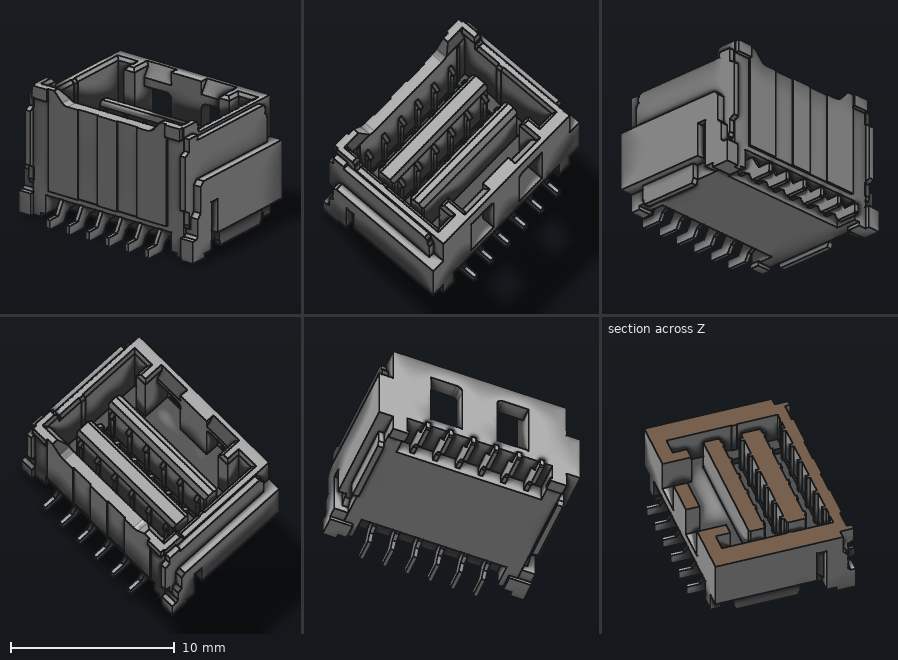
import cadquery as cq
import math

BODY_HALF_X = 5.73
BODY_REAR = 4.55
BODY_FRONT = -4.27
BODY_BOTTOM = 0.35
FOOT_BOTTOM = 0.09
RIM_Z = 7.99
TOP_Z = 8.8
CORNER_STEP_Y = -2.78

RIM_CHAMFER = 0.21
CAVITY_HALF_X = 5.15
CAVITY_REAR = 3.59
CAVITY_FRONT = -3.58
FLOOR_Z = 2.4
SLOT_FLOOR_Z = 2.0
LIP_TOP_Y = -3.99
LIP_BOTTOM_Z = 8.19

DIP_HALF_X = 4.05
DIP_ARC_START_X = 3.46
DIP_ARC_END_X = 3.06

RIB_INNER_X = 3.22
RIB_OUTER_X = 4.03
RIB_TIP_Y = 2.66
POST_HALF_X = 1.16
POST_FACE_Y = 3.65
POCKET_TOP_Y = 4.22
POCKET_SLOPE_Z = 7.13
WINDOW_TOP_Z = 6.56
WINDOW_CORNER_R = 0.4

RIDGE_HALF_X = 5.1
RIDGE_CENTER_Y = -0.76
RIDGE_WIDTH = 0.35
FRONT_RIDGE_FACE = -3.52
FRONT_RIDGE_X = (4.39, 4.64)

SLOT_REAR = 1.55
REAR_TONGUE = (SLOT_REAR, 1.21, 0.78, 0.48)
FRONT_TONGUE = (-0.88, -1.16, -1.93, -2.2)
TONGUE_HALF_X = 4.31
TONGUE_TOP_Z = 6.35
TONGUE_CHAMFER_Z = 6.05
TONGUE_END_CHAMFER = 0.1
FRONT_BASE_BEVEL = 0.16
REAR_BASE_BEVEL = 0.1

PIN_COUNT = 6
PIN_PITCH = 1.5
PIN_WIDTH = 0.28
PIN_TIP_Y = 5.43
CONTACT_TOP_Z = 6.04
CONTACT_SHOULDER_Z = 5.45
CONTACT_HOOK_Z = 5.12
CONTACT_STEM_SHARE = 0.5
CONTACT_SPANS = [(0.56, 0.2), (-0.9, -0.44), (-2.11, -2.47), (-3.6, -3.14)]
TAIL_TIP_CHAMFER = 0.09

RECESS_HALF_X = 4.79
RECESS_TOP_Z = 1.62
RECESS_BACK_Y = 2.79

WING_HALF_X = 6.65
WING_TOP_Z = 5.24
WING_BOTTOM_Z = 1.33
WING_LEG_REAR = -2.65
WING_SLOT_REAR = -2.02
WING_SLOT_TOP_Z = 3.56
PLATE_HALF_X = 6.12
FOOT_FRONT = -4.55
FRONT_FOOT_REAR = -3.31
FRONT_FOOT_INNER_X = 5.17
REAR_FOOT_FRONT = 3.86
REAR_FOOT_INNER_X = 4.68

PANEL_EDGES = [-4.51, -2.26, -0.75, 0.75, 2.26, 4.51]
PANEL_BOTTOM_Z = 2.0
PANEL_FACES = [-4.4, -4.32]
CORNER_PAD_HALF_X = 5.64
CORNER_PAD_FACE = -4.55

EPS = 0.07


def block(x0, x1, y0, y1, z0, z1):
    """Axis-aligned box between two opposite corners."""
    return cq.Workplane("XY").box(x1 - x0, y1 - y0, z1 - z0, centered=False).translate((x0, y0, z0))


def side_profile(points, x0, x1):
    """Closed (y, z) outline swept from x0 to x1."""
    return cq.Workplane("YZ").workplane(offset=x0).polyline(points).close().extrude(x1 - x0)


def both_sides(shape):
    """The shape together with its mirror image across X = 0."""
    return shape.union(shape.mirror("YZ"))


def funnel(x0, x1, y0, y1, z_top):
    """Rim lead-in that widens at 45 degrees from a rectangle up to z_top."""
    grow = 2 * RIM_CHAMFER
    return (
        cq.Workplane("XY")
        .workplane(offset=z_top)
        .center((x0 + x1) / 2, (y0 + y1) / 2)
        .rect(x1 - x0 + grow, y1 - y0 + grow)
        .workplane(offset=-RIM_CHAMFER)
        .rect(x1 - x0, y1 - y0)
        .loft(ruled=True)
    )


def housing_shell():
    """Outer block with the raised front corners."""
    outline = [
        (BODY_REAR, BODY_BOTTOM),
        (BODY_REAR, RIM_Z),
        (-2.61, RIM_Z),
        (CORNER_STEP_Y, 8.17),
        (CORNER_STEP_Y, 8.57),
        (-2.98, TOP_Z),
        (BODY_FRONT, TOP_Z),
        (BODY_FRONT, BODY_BOTTOM),
    ]
    return side_profile(outline, -BODY_HALF_X, BODY_HALF_X)


def front_panels():
    """Alternating shallow panels and the pads on the two raised corners."""
    panels = None
    for i, (x0, x1) in enumerate(zip(PANEL_EDGES, PANEL_EDGES[1:])):
        panel = block(x0, x1, PANEL_FACES[i % 2], BODY_FRONT + EPS, PANEL_BOTTOM_Z, TOP_Z)
        panels = panel if panels is None else panels.union(panel)
    pad = block(PANEL_EDGES[-1], CORNER_PAD_HALF_X, CORNER_PAD_FACE, BODY_FRONT + EPS, RIM_Z, TOP_Z)
    return panels.union(both_sides(pad))


def front_dip():
    """Cutter that lowers the front wall between sloped, rounded shoulders."""
    turn = math.radians(45)
    radius = (DIP_ARC_START_X - DIP_ARC_END_X) / math.sin(turn)
    arc_start_z = RIM_Z + radius * (1 - math.cos(turn))
    arc_mid_x = DIP_ARC_END_X + radius * math.sin(turn / 2)
    arc_mid_z = RIM_Z + radius * (1 - math.cos(turn / 2))
    return (
        cq.Workplane("XZ")
        .moveTo(-DIP_HALF_X, TOP_Z)
        .lineTo(-DIP_ARC_START_X, arc_start_z)
        .threePointArc((-arc_mid_x, arc_mid_z), (-DIP_ARC_END_X, RIM_Z))
        .lineTo(DIP_ARC_END_X, RIM_Z)
        .threePointArc((arc_mid_x, arc_mid_z), (DIP_ARC_START_X, arc_start_z))
        .lineTo(DIP_HALF_X, TOP_Z)
        .close()
        .extrude(-FOOT_FRONT)
    )


def cavity():
    """Mating cavity with its lead-in at the rim and at the raised front corners."""
    room = block(-CAVITY_HALF_X, CAVITY_HALF_X, CAVITY_FRONT, CAVITY_REAR, FLOOR_Z, TOP_Z)
    slots = block(-TONGUE_HALF_X, TONGUE_HALF_X, CAVITY_FRONT, SLOT_REAR, SLOT_FLOOR_Z, FLOOR_Z)
    rim = funnel(-CAVITY_HALF_X, CAVITY_HALF_X, CAVITY_FRONT, CAVITY_REAR, RIM_Z)
    rim = rim.intersect(block(-BODY_HALF_X, BODY_HALF_X, CORNER_STEP_Y, BODY_REAR, 0, TOP_Z))
    rim = rim.cut(block(-RIB_INNER_X, RIB_INNER_X, CAVITY_REAR, BODY_REAR, 0, TOP_Z))
    corner_rim = funnel(-CAVITY_HALF_X, CAVITY_HALF_X, LIP_TOP_Y + RIM_CHAMFER, CAVITY_REAR, TOP_Z)
    lip = [(LIP_TOP_Y, TOP_Z), (CAVITY_FRONT, LIP_BOTTOM_Z), (0, LIP_BOTTOM_Z), (0, TOP_Z)]
    lip_cut = side_profile(lip, -BODY_HALF_X, BODY_HALF_X)
    lip_cut = lip_cut.intersect(
        corner_rim.union(block(-CAVITY_HALF_X, CAVITY_HALF_X, LIP_TOP_Y, 0, RIM_Z, TOP_Z))
    )
    return room.union(slots).union(rim).union(lip_cut)


def rear_ribs():
    """Two upright ribs inside the rear wall, chamfered around their tops."""
    rib = block(RIB_INNER_X, RIB_OUTER_X, RIB_TIP_Y, BODY_REAR - EPS, FLOOR_Z - EPS, RIM_Z)
    rib = rib.faces(">Z").edges("not >Y").chamfer(RIM_CHAMFER)
    return both_sides(rib)


def rear_openings():
    """Recessed rear wall between the ribs, sloped pockets and the windows below them."""
    room = block(-RIB_INNER_X, RIB_INNER_X, 0, POST_FACE_Y, FLOOR_Z, RIM_Z)
    slope = [
        (CAVITY_REAR - EPS, RIM_Z),
        (POCKET_TOP_Y, RIM_Z),
        (POST_FACE_Y, POCKET_SLOPE_Z),
        (CAVITY_REAR - EPS, POCKET_SLOPE_Z),
    ]
    pocket_front = [
        (POST_HALF_X, POCKET_SLOPE_Z),
        (POST_HALF_X, RIM_Z),
        (RIB_INNER_X + RIM_CHAMFER, RIM_Z),
        (RIB_INNER_X, RIM_Z - RIM_CHAMFER),
        (RIB_INNER_X, POCKET_SLOPE_Z),
    ]
    pocket = side_profile(slope, POST_HALF_X, RIB_OUTER_X)
    pocket = pocket.intersect(cq.Workplane("XZ").polyline(pocket_front).close().extrude(-BODY_REAR))
    window = block(POST_HALF_X, RIB_INNER_X, CAVITY_REAR - EPS, BODY_REAR, FLOOR_Z, WINDOW_TOP_Z)
    window = window.edges("|Y and >Z and <X").fillet(WINDOW_CORNER_R)
    return room.union(both_sides(pocket.union(window)))


def guide_ridges():
    """Thin upright ridge on each side wall, its top cut along the rim lead-in."""
    ridge = (
        cq.Workplane("XZ")
        .polyline([
            (RIDGE_HALF_X, FLOOR_Z),
            (RIDGE_HALF_X, RIM_Z - RIM_CHAMFER),
            (RIDGE_HALF_X + RIM_CHAMFER, RIM_Z),
            (BODY_HALF_X - EPS, RIM_Z),
            (BODY_HALF_X - EPS, FLOOR_Z),
        ])
        .close()
        .extrude(RIDGE_WIDTH / 2, both=True)
        .translate((0, RIDGE_CENTER_Y, 0))
    )
    return both_sides(ridge)


def front_ridges():
    """Narrow upright ridges inside the front wall, just outside the tongues."""
    ridge = block(*FRONT_RIDGE_X, CAVITY_FRONT - EPS, FRONT_RIDGE_FACE, FLOOR_Z - EPS, RIM_Z)
    return both_sides(ridge)


def tongue(rear_y, flat_rear_y, flat_front_y, front_y):
    """Full-width contact tongue with bevelled top edges."""
    outline = [
        (rear_y, SLOT_FLOOR_Z - EPS),
        (rear_y, TONGUE_CHAMFER_Z),
        (flat_rear_y, TONGUE_TOP_Z),
        (flat_front_y, TONGUE_TOP_Z),
        (front_y, TONGUE_CHAMFER_Z),
        (front_y, SLOT_FLOOR_Z - EPS),
    ]
    body = side_profile(outline, -TONGUE_HALF_X, TONGUE_HALF_X)
    return body.edges("|Z").chamfer(TONGUE_END_CHAMFER)


def base_bevel(face_y, reach):
    """45-degree strip along the foot of a slot wall, reaching a signed distance into the slot."""
    outline = [
        (face_y, SLOT_FLOOR_Z),
        (face_y, SLOT_FLOOR_Z + abs(reach)),
        (face_y + reach, SLOT_FLOOR_Z),
    ]
    return side_profile(outline, -TONGUE_HALF_X, TONGUE_HALF_X)


def contact(root_y, shoulder_y):
    """Contact with a pointed nose reaching from root to shoulder above a thinner stem."""
    stem_y = root_y + CONTACT_STEM_SHARE * (shoulder_y - root_y)
    outline = [
        (root_y, SLOT_FLOOR_Z),
        (root_y, CONTACT_TOP_Z),
        (shoulder_y, CONTACT_SHOULDER_Z),
        (stem_y, CONTACT_HOOK_Z),
        (stem_y, SLOT_FLOOR_Z),
    ]
    return side_profile(outline, -PIN_WIDTH / 2, PIN_WIDTH / 2)


def solder_tail():
    """Front solder tail, bent down from the recess to a flat foot."""
    outline = [
        (-PIN_TIP_Y + TAIL_TIP_CHAMFER, 0),
        (-PIN_TIP_Y, TAIL_TIP_CHAMFER),
        (-PIN_TIP_Y, 0.64),
        (-4.55, 0.64),
        (-4.02, 1.52),
        (-RECESS_BACK_Y + EPS, 1.52),
        (-RECESS_BACK_Y + EPS, 0.77),
        (-3.26, 0.77),
        (-3.67, 0.53),
        (-3.96, 0),
    ]
    return side_profile(outline, -PIN_WIDTH / 2, PIN_WIDTH / 2)


def terminal_set():
    """All metal terminal parts of one column, centred on X = 0."""
    tail = solder_tail()
    parts = tail.union(tail.mirror("XZ"))
    for root_y, shoulder_y in CONTACT_SPANS:
        parts = parts.union(contact(root_y, shoulder_y))
    return parts


def wing():
    """Right side wing with its front leg, slot and stepped lower edge."""
    outline = [
        (BODY_REAR, WING_BOTTOM_Z),
        (BODY_REAR, WING_TOP_Z),
        (-3.46, WING_TOP_Z),
        (-3.74, 4.95),
        (-3.74, 3.19),
        (-4.03, 2.89),
        (-4.03, 1.74),
        (-4.22, 1.57),
        (FOOT_FRONT, 1.57),
        (FOOT_FRONT, FOOT_BOTTOM),
        (FRONT_FOOT_REAR, FOOT_BOTTOM),
        (FRONT_FOOT_REAR, 0.37),
        (WING_LEG_REAR, 0.37),
        (WING_LEG_REAR, 0.93),
        (-2.27, WING_BOTTOM_Z),
    ]
    slot = block(PLATE_HALF_X, WING_HALF_X, WING_LEG_REAR, WING_SLOT_REAR, 0, WING_SLOT_TOP_Z)
    return side_profile(outline, BODY_HALF_X, WING_HALF_X).cut(slot)


def hold_down():
    """Right metal plate between housing and wing, with a solder tab below."""
    outline = [
        (3.74, WING_BOTTOM_Z + EPS),
        (3.74, 6.86),
        (3.55, 7.2),
        (3.55, 7.58),
        (3.35, 7.81),
        (-3.35, 7.81),
        (-3.35, 8.14),
        (-4.22, 8.14),
        (-4.22, 7.28),
        (-4.6, 7.06),
        (-4.6, 3.46),
        (-4.22, 3.25),
        (-4.22, 2.4),
        (-4.12, 2.13),
        (-1.13, WING_BOTTOM_Z + EPS),
        (-1.13, 0.35),
        (-1.0, 0),
        (3.03, 0),
        (3.17, 0.35),
        (3.17, WING_BOTTOM_Z + EPS),
    ]
    return side_profile(outline, BODY_HALF_X, PLATE_HALF_X)


def feet():
    """Standoff feet under the four housing corners."""
    front = block(FRONT_FOOT_INNER_X, BODY_HALF_X, BODY_FRONT, FRONT_FOOT_REAR, FOOT_BOTTOM, BODY_BOTTOM + EPS)
    rear = block(REAR_FOOT_INNER_X, BODY_HALF_X, REAR_FOOT_FRONT, BODY_REAR, FOOT_BOTTOM, BODY_BOTTOM + EPS)
    return both_sides(front.union(rear))


def tail_recesses():
    """Cutter for the openings under the front and rear walls."""
    front = block(-RECESS_HALF_X, RECESS_HALF_X, -BODY_REAR, -RECESS_BACK_Y, BODY_BOTTOM, RECESS_TOP_Z)
    return front.union(front.mirror("XZ"))


result = housing_shell().union(front_panels()).cut(front_dip())
result = result.cut(cavity()).union(rear_ribs()).cut(rear_openings())
result = result.union(guide_ridges()).union(front_ridges())
result = result.cut(tail_recesses()).union(feet())

for tongue_faces in (REAR_TONGUE, FRONT_TONGUE):
    result = result.union(tongue(*tongue_faces))
    result = result.union(base_bevel(tongue_faces[-1], -FRONT_BASE_BEVEL))
for rear_facing_wall in (FRONT_TONGUE[0], CAVITY_FRONT):
    result = result.union(base_bevel(rear_facing_wall, REAR_BASE_BEVEL))

result = result.union(both_sides(wing().union(hold_down())))
terminals = terminal_set()
for column in range(PIN_COUNT):
    column_x = (column - (PIN_COUNT - 1) / 2) * PIN_PITCH
    result = result.union(terminals.translate((column_x, 0, 0)))